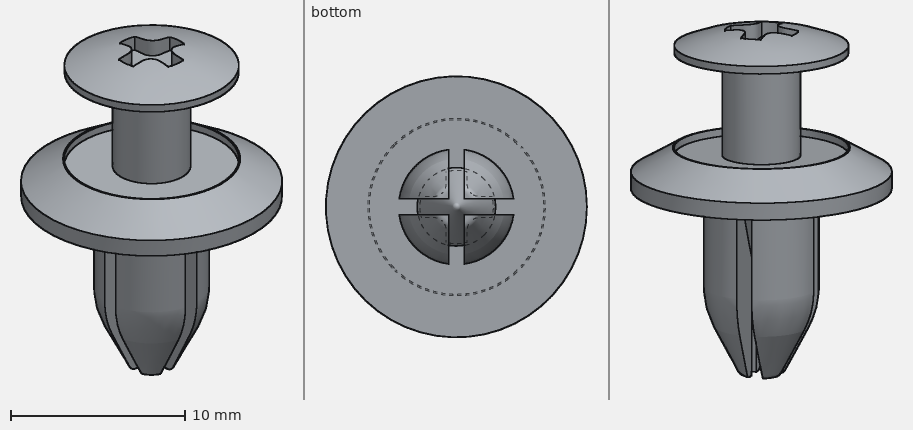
import cadquery as cq
import math


pin_radius = 2.25
pin_cone_top = 10.51
pin_cone_half_angle = math.radians(25.2)
pin_tip_radius = 0.25
head_radius = 5.01
head_rim_thickness = 0.45
head_bottom = 19.02
head_rim_top = head_bottom + head_rim_thickness
dome_radius = 12.65
dome_center_z = head_rim_top - math.sqrt(dome_radius**2 - head_radius**2)
dome_top = dome_center_z + dome_radius

cross_radius = 2.1
cross_arm_width = 1.2
cross_corner_radius = 0.72
cross_floor = head_rim_top

flange_diameter = 15.0
flange_radius = flange_diameter / 2
flange_bottom = 11.0
flange_rim_height = 1.0
flange_cone_height = 1.41
flange_top_radius = 5.1
flange_rim_top = flange_bottom + flange_rim_height
flange_top = flange_rim_top + flange_cone_height
seat_depth = head_rim_thickness

leg_radius = 3.31
leg_straight_bottom = 5.21
leg_shoulder_radius = 5.0
leg_cone_half_angle = math.radians(27.5)
leg_tip_radius = 0.5
slot_width = 0.9
slot_count = 2


def arc_point(center_r, center_z, radius, angle):
    """Point on an arc in the (radius, height) half-plane, angle measured from +r."""
    return (center_r + radius * math.cos(angle), center_z + radius * math.sin(angle))


def pin_blank():
    """Domed head, cylindrical pin, tapered end and rounded tip."""
    dome_edge_angle = math.acos(head_radius / dome_radius)
    dome_middle_angle = (dome_edge_angle + math.pi / 2) / 2

    apex_z = pin_cone_top - pin_radius / math.tan(pin_cone_half_angle)
    tip_center_z = apex_z + pin_tip_radius / math.sin(pin_cone_half_angle)
    tip_edge_angle = -pin_cone_half_angle
    tip_middle_angle = (tip_edge_angle - math.pi / 2) / 2

    return (
        cq.Workplane("XZ")
        .moveTo(0, tip_center_z - pin_tip_radius)
        .threePointArc(
            arc_point(0, tip_center_z, pin_tip_radius, tip_middle_angle),
            arc_point(0, tip_center_z, pin_tip_radius, tip_edge_angle),
        )
        .lineTo(pin_radius, pin_cone_top)
        .lineTo(pin_radius, head_bottom)
        .lineTo(head_radius, head_bottom)
        .lineTo(head_radius, head_rim_top)
        .threePointArc(
            arc_point(0, dome_center_z, dome_radius, dome_middle_angle),
            (0, dome_top),
        )
        .close()
        .revolve(360, (0, 0, 0), (0, 1, 0))
    )


def cross_cutter():
    """Cross with rounded inner corners and arm ends on a common circle."""
    cutter_height = dome_top - cross_floor
    plane = cq.Workplane("XY").workplane(offset=cross_floor)
    arm_length = 2 * cross_radius
    arm_along_x = plane.rect(arm_length, cross_arm_width).extrude(cutter_height)
    arm_along_y = plane.rect(cross_arm_width, arm_length).extrude(cutter_height)
    inner_corners = cq.selectors.BoxSelector(
        (-cross_arm_width, -cross_arm_width, cross_floor),
        (cross_arm_width, cross_arm_width, dome_top),
    )
    cross = arm_along_x.union(arm_along_y).edges("|Z").edges(inner_corners).fillet(cross_corner_radius)
    return cross.intersect(plane.circle(cross_radius).extrude(cutter_height))


def make_pin():
    """Drive pin with the cross recess in its head."""
    return pin_blank().cut(cross_cutter())


def housing_blank():
    """Flange with a conical top and a head seat, above a tapered leg barrel."""
    shoulder_center_r = leg_radius - leg_shoulder_radius
    shoulder_end = arc_point(
        shoulder_center_r, leg_straight_bottom, leg_shoulder_radius, -leg_cone_half_angle
    )
    tip_start_z = leg_tip_radius * (1 - math.sin(leg_cone_half_angle))
    tip_start_r = shoulder_end[0] - (shoulder_end[1] - tip_start_z) * math.tan(leg_cone_half_angle)
    tip_center_r = tip_start_r - leg_tip_radius * math.cos(leg_cone_half_angle)
    tip_middle_angle = -(leg_cone_half_angle + math.pi / 2) / 2

    return (
        cq.Workplane("XZ")
        .moveTo(0, 0)
        .lineTo(tip_center_r, 0)
        .threePointArc(
            arc_point(tip_center_r, leg_tip_radius, leg_tip_radius, tip_middle_angle),
            (tip_start_r, tip_start_z),
        )
        .lineTo(*shoulder_end)
        .threePointArc(
            arc_point(
                shoulder_center_r, leg_straight_bottom, leg_shoulder_radius, -leg_cone_half_angle / 2
            ),
            (leg_radius, leg_straight_bottom),
        )
        .lineTo(leg_radius, flange_bottom)
        .lineTo(flange_radius, flange_bottom)
        .lineTo(flange_radius, flange_rim_top)
        .lineTo(flange_top_radius, flange_top)
        .lineTo(head_radius, flange_top)
        .lineTo(head_radius, flange_top - seat_depth)
        .lineTo(0, flange_top - seat_depth)
        .close()
        .revolve(360, (0, 0, 0), (0, 1, 0))
    )


def make_housing():
    """Housing with crossed slots below the flange and a socket that fits the pin."""
    housing = housing_blank()
    slot = cq.Workplane("XY").rect(flange_diameter, slot_width).extrude(flange_bottom)
    for index in range(slot_count):
        housing = housing.cut(slot.rotate((0, 0, 0), (0, 0, 1), index * 180 / slot_count))
    return housing.cut(pin_blank())


pin = make_pin()
housing = make_housing()
result = cq.Compound.makeCompound([pin.solids().val(), housing.solids().val()])